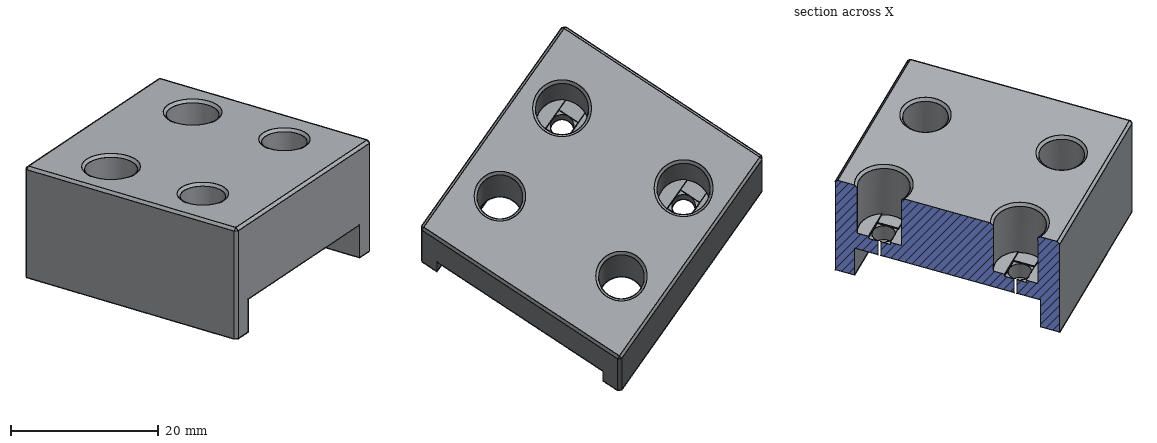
import cadquery as cq

length = 34.7
width = 33.0
height = 16.8
edge_chamfer = 0.4

channel_width = 27.3
channel_height = 5.0

hole_spacing_x = 15.0
hole_spacing_y = 20.0
rim_chamfer = 0.4
plain_hole_diameter = 6.2
bore_diameter = 7.2
screw_hole_diameter = 3.2

bore_floor_thickness = 3.0
step_depth = 0.2

bore_depth = height - channel_height - bore_floor_thickness
slot_bottom = height - bore_depth - step_depth
square_bottom = slot_bottom - step_depth


def make_block():
    """Block with chamfered vertical and top edges, and the channel below."""
    block = cq.Workplane("XY").box(length, width, height, centered=(True, True, False))
    block = block.edges("|Z or >Z").chamfer(edge_chamfer)
    channel = cq.Workplane("XY").box(length, channel_width, channel_height, centered=(True, True, False))
    return block.cut(channel)


def cylinder_up(diameter, bottom):
    """Cylinder on the Z axis from the given level to the top face."""
    return cq.Workplane("XY").workplane(offset=bottom).circle(diameter / 2).extrude(height - bottom)


def chamfered_hole(diameter, bottom):
    """Cutter for a hole that widens in a 45 degree chamfer at the top face."""
    rim = (
        cq.Workplane("XY")
        .workplane(offset=height - rim_chamfer)
        .circle(diameter / 2)
        .workplane(offset=rim_chamfer)
        .circle(diameter / 2 + rim_chamfer)
        .loft(ruled=True)
    )
    return cylinder_up(diameter, bottom).union(rim)


def stepped_screw_hole():
    """Cutter for the bore, its slot and square floor steps, and the screw hole."""
    slot_blank = cq.Workplane("XY").workplane(offset=slot_bottom)
    slot = slot_blank.rect(bore_diameter, screw_hole_diameter).extrude(height - slot_bottom)
    slot = slot.intersect(cylinder_up(bore_diameter, slot_bottom))
    square_blank = cq.Workplane("XY").workplane(offset=square_bottom)
    square = square_blank.rect(screw_hole_diameter, screw_hole_diameter).extrude(height - square_bottom)
    bore = chamfered_hole(bore_diameter, height - bore_depth)
    screw_hole = cylinder_up(screw_hole_diameter, 0)
    return bore.union(slot).union(square).union(screw_hole)


result = make_block()
screw_cutter = stepped_screw_hole()
plain_cutter = chamfered_hole(plain_hole_diameter, 0)
for y in (-hole_spacing_y / 2, hole_spacing_y / 2):
    result = result.cut(screw_cutter.translate((-hole_spacing_x / 2, y, 0)))
    result = result.cut(plain_cutter.translate((hole_spacing_x / 2, y, 0)))